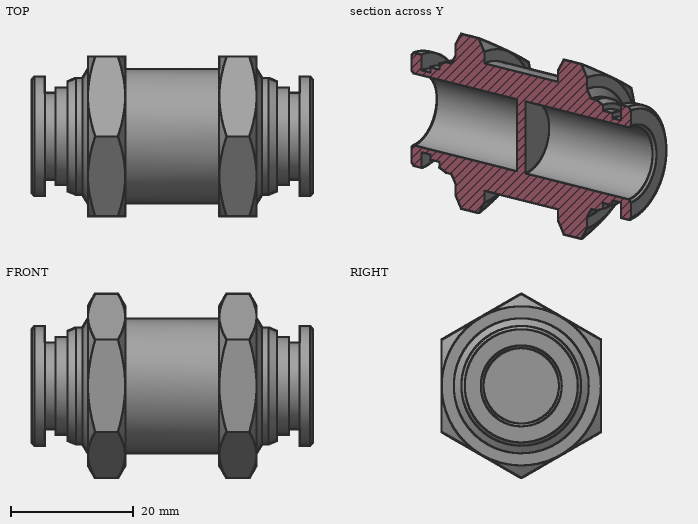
import cadquery as cq
import math

length = 45.8
half_length = length / 2

collar_chamfer_length = 0.5
collar_end = 2.15
neck_end = 3.9
step_end = 5.8
shoulder_taper_end = 7.25
shoulder_end = 8.3
nut_start = 9.15
nut_width = 6.1

collar_radius = 9.75
collar_face_radius = 9.2
neck_radius = 7.1
step_radius = 7.95
shoulder_front_radius = 8.95
shoulder_radius = 9.53
body_radius = 11.0

across_flats = 26.0
across_corners = across_flats / math.cos(math.radians(30))
nut_face_radius = 12.95
nut_chamfer_angle = 30.0

socket_radius = 6.15
socket_mouth_radius = 6.6
socket_mouth_depth = 0.45
web_thickness = 1.85


def turned_half():
    """Left half of the stepped body, revolved about X."""
    profile = (
        cq.Workplane("XY")
        .moveTo(-half_length, 0)
        .lineTo(-half_length, collar_face_radius)
        .lineTo(-half_length + collar_chamfer_length, collar_radius)
        .lineTo(-half_length + collar_end, collar_radius)
        .lineTo(-half_length + collar_end, neck_radius)
        .lineTo(-half_length + neck_end, neck_radius)
        .lineTo(-half_length + neck_end, step_radius)
        .lineTo(-half_length + step_end, step_radius)
        .lineTo(-half_length + step_end, shoulder_front_radius)
        .lineTo(-half_length + shoulder_taper_end, shoulder_radius)
        .lineTo(-half_length + shoulder_end, shoulder_radius)
        .lineTo(-half_length + nut_start, body_radius)
        .lineTo(0, body_radius)
        .lineTo(0, 0)
        .close()
    )
    return profile.revolve(360, (0, 0, 0), (1, 0, 0))


def left_nut():
    """Hexagonal nut with its corners chamfered conically on both faces."""
    nut_left = -half_length + nut_start
    nut_right = nut_left + nut_width
    corner_radius = across_corners / 2
    chamfer_length = (corner_radius - nut_face_radius) * math.tan(math.radians(nut_chamfer_angle))
    hexagon = (
        cq.Workplane("YZ", origin=(nut_left, 0, 0))
        .transformed(rotate=(0, 0, 90))
        .polygon(6, across_corners)
        .extrude(nut_width)
    )
    envelope = (
        cq.Workplane("XY")
        .moveTo(nut_left, 0)
        .lineTo(nut_left, nut_face_radius)
        .lineTo(nut_left + chamfer_length, corner_radius)
        .lineTo(nut_right - chamfer_length, corner_radius)
        .lineTo(nut_right, nut_face_radius)
        .lineTo(nut_right, 0)
        .close()
        .revolve(360, (0, 0, 0), (1, 0, 0))
    )
    return hexagon.intersect(envelope)


def left_socket():
    """Volume of the blind tube socket, with its chamfered mouth."""
    profile = (
        cq.Workplane("XY")
        .moveTo(-half_length, 0)
        .lineTo(-half_length, socket_mouth_radius)
        .lineTo(-half_length + socket_mouth_depth, socket_radius)
        .lineTo(-web_thickness / 2, socket_radius)
        .lineTo(-web_thickness / 2, 0)
        .close()
    )
    return profile.revolve(360, (0, 0, 0), (1, 0, 0))


left_half = turned_half().union(left_nut()).cut(left_socket())
result = left_half.union(left_half.mirror("YZ"))